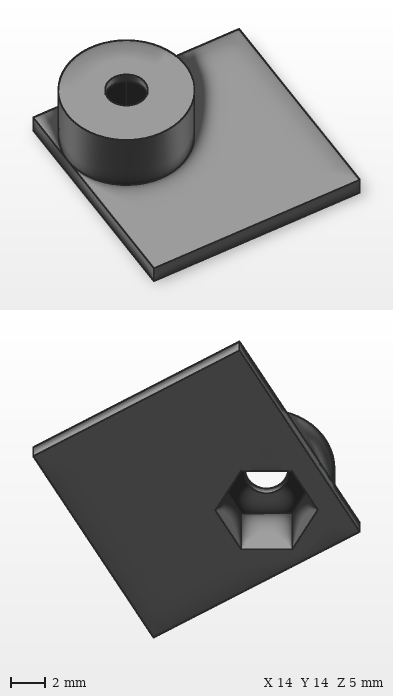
import cadquery as cq

plate_side = 14.0
plate_thickness = 1.1

total_height = 5.0
boss_diameter = 8.0
boss_height = total_height - plate_thickness
boss_center = boss_diameter / 2

bore_diameter = 2.5
hex_across_corners = 6.0
hex_turn = 30
roof_thickness = 0.6
pocket_depth = total_height - roof_thickness

plate = cq.Workplane("XY").box(plate_side, plate_side, plate_thickness, centered=False)

boss = (
    cq.Workplane("XY", origin=(boss_center, boss_center, plate_thickness))
    .circle(boss_diameter / 2)
    .extrude(boss_height)
)

bore = (
    cq.Workplane("XY", origin=(boss_center, boss_center, 0))
    .circle(bore_diameter / 2)
    .extrude(total_height)
)

hex_pocket = (
    cq.Workplane("XY")
    .polygon(6, hex_across_corners)
    .extrude(pocket_depth)
    .rotate((0, 0, 0), (0, 0, 1), hex_turn)
    .translate((boss_center, boss_center, 0))
)

result = plate.union(boss).cut(bore).cut(hex_pocket)